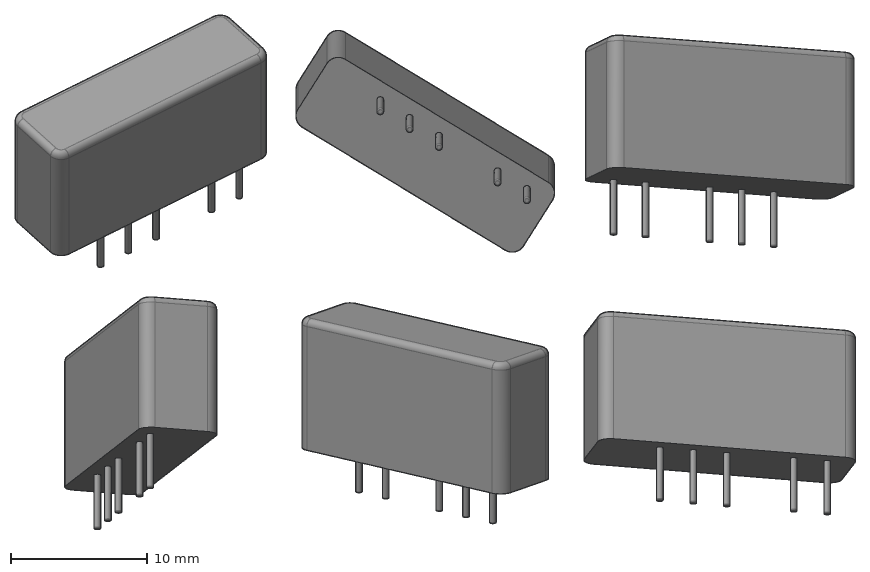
import cadquery as cq

housing_width = 6.0
housing_length = 19.5
housing_height = 10.0
corner_radius = 0.98
top_edge_radius = 0.5

pin_diameter = 0.5
pin_length = 4.1
pin_tip_radius = 0.1
pin_row_x = 1.75
pin_pitch = 2.54
first_pin_y = 7.7
filled_places = [0, 1, 3, 4, 5]


def make_housing():
    """Block with rounded upright corners and a rounded top rim."""
    block = cq.Workplane("XY").box(
        housing_width, housing_length, housing_height, centered=(True, True, False)
    )
    return block.edges("|Z").fillet(corner_radius).faces(">Z").edges().fillet(top_edge_radius)


def make_pin(y):
    """Round pin hanging from the underside of the housing, with a rounded tip edge."""
    pin = cq.Workplane("XY").center(pin_row_x, y).circle(pin_diameter / 2).extrude(-pin_length)
    return pin.faces("<Z").edges().fillet(pin_tip_radius)


housing = make_housing()

pins = []
for place in filled_places:
    pins.append(make_pin(first_pin_y - place * pin_pitch).val())

result = cq.Compound.makeCompound([housing.val(), *pins])